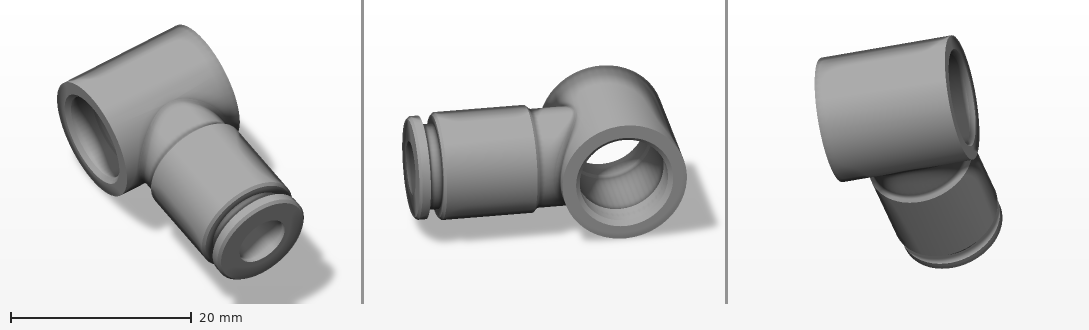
import cadquery as cq

import math

BARREL_DIAMETER = 14.0
BARREL_RADIUS = BARREL_DIAMETER / 2
BARREL_LENGTH = 15.0
BORE_RADIUS = 4.95
BORE_CHAMFER = 0.5
LAND_END = 3.27
CHAMBER_STEP = 0.25
CHAMBER_TAPER = 0.42
JUNCTION_FILLET = 0.5

TOTAL_LENGTH = 29.7
STEM_END = TOTAL_LENGTH - BARREL_RADIUS
NECK_RADIUS = 5.5
NECK_END = 8.8
BODY_RADIUS = 6.0
BODY_END = 20.0
SHOULDER_FILLET = 0.53
CONE_ANGLE = math.radians(45)
BODY_CHAMFER = 0.3
SLEEVE_RADIUS = 4.75
SLEEVE_END = 21.1
SLEEVE_TIP_RADIUS = 4.6
COLLAR_RADIUS = 5.75
COLLAR_START = 21.47
COLLAR_CHAMFER = 0.3
PORT_RADIUS = 2.5
SOCKET_RADIUS = 3.0
SOCKET_START = 6.18


def make_barrel():
    """Plain outer cylinder of the banjo."""
    return cq.Workplane("XZ").circle(BARREL_RADIUS).extrude(BARREL_LENGTH / 2, both=True)


def make_neck():
    """Cylinder that joins the barrel to the stem body."""
    return cq.Workplane("YZ").circle(NECK_RADIUS).extrude(NECK_END)


def make_stem_body():
    """Revolved shoulder, body, sleeve and release collar."""
    def fillet_point(angle):
        """Point on the shoulder fillet after turning by the given angle."""
        return (
            NECK_END + SHOULDER_FILLET * math.sin(angle),
            NECK_RADIUS + SHOULDER_FILLET * (1 - math.cos(angle)),
        )

    cone_start, cone_radius = fillet_point(CONE_ANGLE)
    body_start = cone_start + (BODY_RADIUS - cone_radius) / math.tan(CONE_ANGLE)
    profile = (
        cq.Workplane("XY")
        .moveTo(NECK_END, 0)
        .lineTo(NECK_END, NECK_RADIUS)
        .threePointArc(fillet_point(CONE_ANGLE / 2), (cone_start, cone_radius))
        .lineTo(body_start, BODY_RADIUS)
        .lineTo(BODY_END - BODY_CHAMFER, BODY_RADIUS)
        .lineTo(BODY_END, BODY_RADIUS - BODY_CHAMFER)
        .lineTo(BODY_END, SLEEVE_RADIUS)
        .lineTo(SLEEVE_END, SLEEVE_RADIUS)
        .lineTo(SLEEVE_END + SLEEVE_RADIUS - SLEEVE_TIP_RADIUS, SLEEVE_TIP_RADIUS)
        .lineTo(COLLAR_START, SLEEVE_TIP_RADIUS)
        .lineTo(COLLAR_START, COLLAR_RADIUS)
        .lineTo(STEM_END - COLLAR_CHAMFER, COLLAR_RADIUS)
        .lineTo(STEM_END, COLLAR_RADIUS - COLLAR_CHAMFER)
        .lineTo(STEM_END, 0)
        .close()
    )
    return profile.revolve(360, (0, 0, 0), (1, 0, 0))


def make_bore():
    """Revolved bore: chamfered mouths, two lands and a wider middle chamber."""
    half = BARREL_LENGTH / 2
    land_y = half - LAND_END
    chamber_y = land_y - CHAMBER_TAPER
    chamber_radius = BORE_RADIUS + CHAMBER_STEP
    profile = (
        cq.Workplane("XY")
        .moveTo(0, -half)
        .lineTo(BORE_RADIUS + BORE_CHAMFER, -half)
        .lineTo(BORE_RADIUS, BORE_CHAMFER - half)
        .lineTo(BORE_RADIUS, -land_y)
        .lineTo(chamber_radius, -chamber_y)
        .lineTo(chamber_radius, chamber_y)
        .lineTo(BORE_RADIUS, land_y)
        .lineTo(BORE_RADIUS, half - BORE_CHAMFER)
        .lineTo(BORE_RADIUS + BORE_CHAMFER, half)
        .lineTo(0, half)
        .close()
    )
    return profile.revolve(360, (0, 0, 0), (0, 1, 0))


def make_port():
    """Flow passage from the bore, widening into a tube socket open at the collar."""
    passage = cq.Workplane("YZ").circle(PORT_RADIUS).extrude(SOCKET_START)
    socket = (
        cq.Workplane("YZ", origin=(SOCKET_START, 0, 0))
        .circle(SOCKET_RADIUS)
        .extrude(STEM_END - SOCKET_START)
    )
    return passage.union(socket)


SELECTION_MARGIN = 0.3

junction_box = cq.selectors.BoxSelector(
    (SELECTION_MARGIN, -NECK_RADIUS - SELECTION_MARGIN, -NECK_RADIUS - SELECTION_MARGIN),
    (NECK_END - SELECTION_MARGIN, NECK_RADIUS + SELECTION_MARGIN, NECK_RADIUS + SELECTION_MARGIN),
)
outer = make_barrel().union(make_neck()).edges(junction_box).fillet(JUNCTION_FILLET)
result = outer.union(make_stem_body()).cut(make_bore()).cut(make_port())